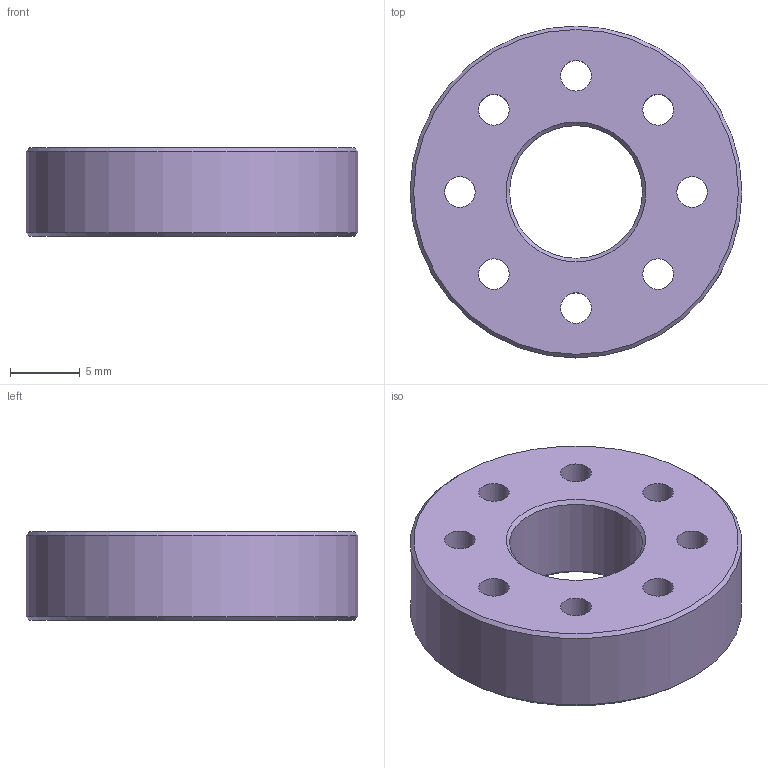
import cadquery as cq

outer_diameter = 23.8125
bore_diameter = 9.525
thickness = 6.35
edge_chamfer = 0.254

hole_count = 8
hole_diameter = 2.2
bolt_circle_diameter = 16.67


def chamfered_ring():
    """Flat ring standing on Z = 0, its bore and rim chamfered on both faces."""
    ring = (
        cq.Workplane("XY")
        .circle(outer_diameter / 2)
        .circle(bore_diameter / 2)
        .extrude(thickness)
    )
    return ring.faces("<Z or >Z").edges().chamfer(edge_chamfer)


def bolt_holes():
    """Cylinders for the through holes, evenly spaced with the first on +X."""
    return (
        cq.Workplane("XY")
        .polarArray(bolt_circle_diameter / 2, 0, 360, hole_count)
        .circle(hole_diameter / 2)
        .extrude(thickness)
    )


result = chamfered_ring().cut(bolt_holes())